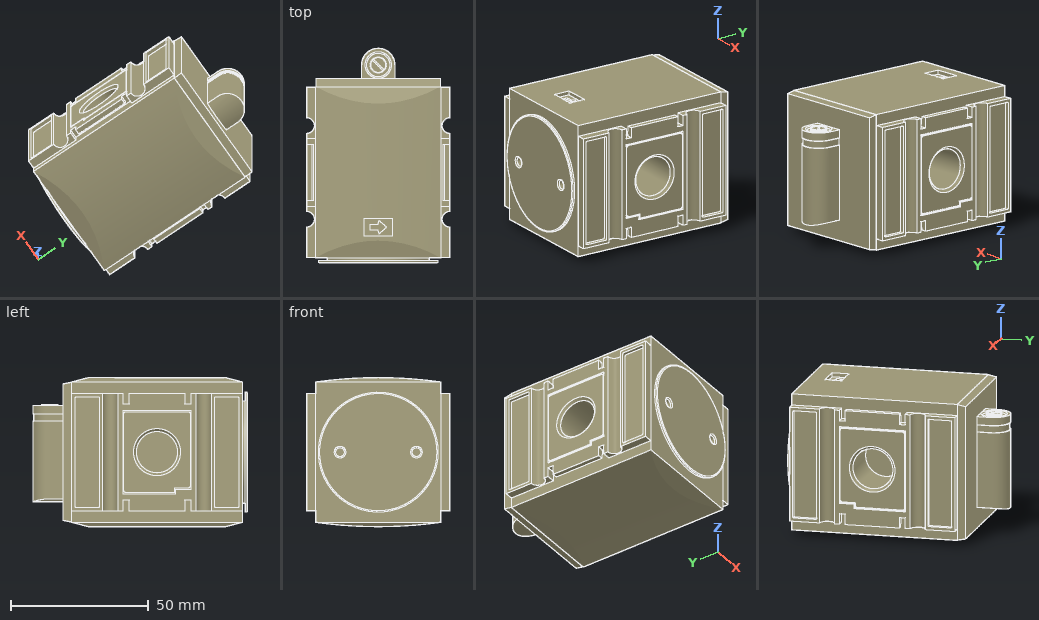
import cadquery as cq
import math

BODY_WIDTH = 45.4
BODY_LENGTH = 62.1
EDGE_HEIGHT = 51.0
CROWN_HEIGHT = 54.2
BEVEL_LENGTH = 6.2

CAP_WIDTH = 45.25
CAP_THICKNESS = 3.1
CAP_FRONT_HEIGHT = 50.85
CAP_BACK_HEIGHT = 49.6

OVERALL_WIDTH = 52.0
FLANGE_HEIGHT = 42.7
FLANGE_LENGTH = 61.9
GROOVE_RADIUS = 2.8
GROOVE_Y = 17.0
POCKET_NEAR_Y = 20.8
POCKET_FAR_Y = 29.8
POCKET_HEIGHT = 40.2
POCKET_RADIUS = 0.5
POCKET_DEPTH = 1.55

LATCH_HALF_LENGTH = 12.3
NOTCH_WIDTH = 2.2
NOTCH_DEPTH = 3.9
TONGUE_TOP_THICKNESS = 2.0
TONGUE_ROOT_THICKNESS = 2.6

PANEL_HALF_HEIGHT = 15.1
PANEL_STEP_Y = -6.8
PANEL_STEP_HEIGHT = 1.6
SEAM_SIDE_GAP = 0.15
SEAM_END_GAP = 0.5
SEAM_DEPTH = 0.8
PANEL_CORNER = 0.9

PORT_DIAMETER = 15.0
PORT_MOUTH_DIAMETER = 17.1
PORT_DEPTH = 19.5

NECK_DIAMETER = 37.2
NECK_LENGTH = 0.9
DISC_DIAMETER = 43.5
DISC_THICKNESS = 0.9
DISC_RIM_RADIAL = 0.5
DISC_RIM_AXIAL = 0.2
PIN_HOLE_DIAMETER = 3.2
PIN_HOLE_MOUTH = 4.2
PIN_HOLE_SPACING = 27.8
PIN_HOLE_DEPTH = 3.9

OVERALL_LENGTH = 78.0
LUG_RADIUS = 6.1
LUG_TOP = 17.0
LUG_BOTTOM_RADIUS = 18.0
LUG_GROOVE_TOP = 13.9
LUG_GROOVE_BOTTOM = 11.2
LUG_GROOVE_DEPTH = 0.3
SCREW_WELL_MOUTH = 9.6
SCREW_WELL_FLOOR = 8.5
SCREW_TIP_RADIUS = 3.0
SCREW_ROOT_RADIUS = 2.65
SCREW_TEETH = 36
SCREW_RISE = 0.3
SLOT_WIDTH = 0.55
SLOT_DEPTH = 0.3
SLOT_ANGLE = -45

WINDOW_LENGTH = 10.2
WINDOW_WIDTH = 6.25
WINDOW_Y = -19.9
ARROW_TAIL_X = -3.0
ARROW_NECK_X = -0.15
ARROW_BARB_X = 0.3
ARROW_TIP_X = 3.05
ARROW_SHAFT_HALF = 1.0
ARROW_HEAD_HALF = 2.4
ARROW_DEPTH = 0.6

HALF_WIDTH = BODY_WIDTH / 2
FRONT_Y = -BODY_LENGTH / 2
BACK_Y = BODY_LENGTH / 2
CAP_BACK_Y = BACK_Y + CAP_THICKNESS
FLANGE_X = OVERALL_WIDTH / 2
FLANGE_TOP = FLANGE_HEIGHT / 2
DISC_BACK_Y = FRONT_Y - NECK_LENGTH
DISC_FRONT_Y = DISC_BACK_Y - DISC_THICKNESS
LUG_Y = DISC_FRONT_Y + OVERALL_LENGTH - LUG_RADIUS


def block(x0, x1, y0, y1, z0, z1):
    """Box given by its limits along each axis."""
    return cq.Workplane("XY").box(x1 - x0, y1 - y0, z1 - z0, centered=False).translate((x0, y0, z0))


def cone(base_diameter, end_diameter, height):
    """Cone frustum standing on the XY plane along +Z."""
    return cq.Workplane(cq.Solid.makeCone(base_diameter / 2, end_diameter / 2, height))


def make_body():
    edge_z = EDGE_HEIGHT / 2
    crown_z = CROWN_HEIGHT / 2
    crowned = (
        cq.Workplane("XZ")
        .moveTo(-HALF_WIDTH, -edge_z)
        .threePointArc((0, -crown_z), (HALF_WIDTH, -edge_z))
        .lineTo(HALF_WIDTH, edge_z)
        .threePointArc((0, crown_z), (-HALF_WIDTH, edge_z))
        .close()
        .extrude(BODY_LENGTH / 2, both=True)
    )
    bevel_y = BACK_Y - BEVEL_LENGTH
    beveled = (
        cq.Workplane("YZ")
        .polyline([
            (BACK_Y, -edge_z), (BACK_Y, edge_z), (bevel_y, crown_z), (-bevel_y, crown_z),
            (FRONT_Y, edge_z), (FRONT_Y, -edge_z), (-bevel_y, -crown_z), (bevel_y, -crown_z),
        ])
        .close()
        .extrude(HALF_WIDTH, both=True)
    )
    return crowned.intersect(beveled)


def make_cap():
    return (
        cq.Workplane("YZ")
        .polyline([
            (BACK_Y, -CAP_FRONT_HEIGHT / 2), (BACK_Y, CAP_FRONT_HEIGHT / 2),
            (CAP_BACK_Y, CAP_BACK_HEIGHT / 2), (CAP_BACK_Y, -CAP_BACK_HEIGHT / 2),
        ])
        .close()
        .extrude(CAP_WIDTH / 2, both=True)
    )


def make_tongue():
    """Wedge standing on the notch floor at the top of the -X flange."""
    floor_z = FLANGE_TOP - NOTCH_DEPTH
    half_length = LATCH_HALF_LENGTH - NOTCH_WIDTH
    return (
        cq.Workplane("XZ")
        .polyline([
            (-FLANGE_X, floor_z), (-FLANGE_X, FLANGE_TOP),
            (-FLANGE_X + TONGUE_TOP_THICKNESS, FLANGE_TOP),
            (-FLANGE_X + TONGUE_ROOT_THICKNESS, floor_z),
        ])
        .close()
        .extrude(half_length, both=True)
    )


def make_seam():
    """Thin stepped groove around the port panel of the -X flange."""
    side_y = LATCH_HALF_LENGTH
    low_z = -PANEL_HALF_HEIGHT
    step_z = low_z + PANEL_STEP_HEIGHT

    def stepped_plate(side, top, bottom, step_y, step):
        outline = [
            (-side, top), (side, top), (side, bottom),
            (step_y, bottom), (step_y, step), (-side, step),
        ]
        return cq.Workplane("YZ", origin=(-FLANGE_X, 0, 0)).polyline(outline).close().extrude(SEAM_DEPTH)

    inner_side = side_y - SEAM_SIDE_GAP
    inner_top = PANEL_HALF_HEIGHT - SEAM_END_GAP
    outer = stepped_plate(side_y, PANEL_HALF_HEIGHT, low_z, PANEL_STEP_Y, step_z)
    inner = stepped_plate(
        inner_side, inner_top, low_z + SEAM_END_GAP, PANEL_STEP_Y + SEAM_END_GAP, step_z + SEAM_END_GAP
    )
    inner = inner.edges("|X and (<Y or >Y)").fillet(PANEL_CORNER)
    return outer.cut(inner)


def make_left_flange():
    end_y = FLANGE_LENGTH / 2
    flange = block(-FLANGE_X, -HALF_WIDTH, -end_y, end_y, -FLANGE_TOP, FLANGE_TOP)

    tongue = make_tongue()
    notch_floor = FLANGE_TOP - NOTCH_DEPTH
    notch = block(-FLANGE_X, -HALF_WIDTH, -LATCH_HALF_LENGTH, LATCH_HALF_LENGTH, notch_floor, FLANGE_TOP)
    latch_gap = notch.cut(tongue)
    flange = flange.cut(latch_gap).cut(latch_gap.mirror("XY"))

    pocket_y = (POCKET_NEAR_Y + POCKET_FAR_Y) / 2
    for side in (-1, 1):
        groove = cq.Workplane("XY").center(-FLANGE_X, side * GROOVE_Y).circle(GROOVE_RADIUS)
        flange = flange.cut(groove.extrude(FLANGE_TOP, both=True))
        pocket = (
            cq.Workplane("YZ", origin=(-FLANGE_X, side * pocket_y, 0))
            .rect(POCKET_FAR_Y - POCKET_NEAR_Y, POCKET_HEIGHT)
            .extrude(POCKET_DEPTH)
            .edges("|X")
            .fillet(POCKET_RADIUS)
        )
        flange = flange.cut(pocket)
    return flange.cut(make_seam())


def make_left_port():
    """Blind bore with a 45 degree mouth, cut in from the -X flange face."""
    mouth_depth = (PORT_MOUTH_DIAMETER - PORT_DIAMETER) / 2
    bore = cq.Workplane("XY").circle(PORT_DIAMETER / 2).extrude(PORT_DEPTH)
    port = bore.union(cone(PORT_MOUTH_DIAMETER, PORT_DIAMETER, mouth_depth))
    return port.rotate((0, 0, 0), (0, 1, 0), 90).translate((-FLANGE_X, 0, 0))


def make_disc():
    """Turned front disc on its neck."""
    radius = DISC_DIAMETER / 2
    return (
        cq.Workplane("XY")
        .polyline([
            (0, FRONT_Y), (NECK_DIAMETER / 2, FRONT_Y), (NECK_DIAMETER / 2, DISC_BACK_Y),
            (radius, DISC_BACK_Y), (radius, DISC_FRONT_Y + DISC_RIM_AXIAL),
            (radius - DISC_RIM_RADIAL, DISC_FRONT_Y), (0, DISC_FRONT_Y),
        ])
        .close()
        .revolve(360, (0, 0, 0), (0, 1, 0))
    )


def make_pin_hole(x):
    mouth_depth = (PIN_HOLE_MOUTH - PIN_HOLE_DIAMETER) / 2
    hole = cq.Workplane("XY").circle(PIN_HOLE_DIAMETER / 2).extrude(PIN_HOLE_DEPTH)
    hole = hole.union(cone(PIN_HOLE_MOUTH, PIN_HOLE_DIAMETER, mouth_depth))
    return hole.rotate((0, 0, 0), (1, 0, 0), -90).translate((x, DISC_FRONT_Y, 0))


def lug_prism(radius, bottom_z, top_z):
    """Round-ended upright prism running from the cap to the lug axis."""
    return (
        cq.Workplane("XY", origin=(0, 0, bottom_z))
        .moveTo(-radius, CAP_BACK_Y)
        .lineTo(-radius, LUG_Y)
        .threePointArc((0, LUG_Y + radius), (radius, LUG_Y))
        .lineTo(radius, CAP_BACK_Y)
        .close()
        .extrude(top_z - bottom_z)
    )


def make_lug():
    lug = lug_prism(LUG_RADIUS, -LUG_BOTTOM_RADIUS, LUG_GROOVE_BOTTOM)
    rounding = cq.Workplane("XZ").circle(LUG_BOTTOM_RADIUS).extrude(-(LUG_Y + LUG_RADIUS))
    lug = lug.intersect(rounding)
    lug = lug.union(lug_prism(LUG_RADIUS - LUG_GROOVE_DEPTH, LUG_GROOVE_BOTTOM, LUG_GROOVE_TOP))
    lug = lug.union(lug_prism(LUG_RADIUS, LUG_GROOVE_TOP, LUG_TOP))

    well_depth = (SCREW_WELL_MOUTH - SCREW_WELL_FLOOR) / 2
    well_floor = LUG_TOP - well_depth
    well = cone(SCREW_WELL_FLOOR, SCREW_WELL_MOUTH, well_depth).translate((0, LUG_Y, well_floor))
    return lug.cut(well).union(make_screw(well_floor))


def make_screw(base_z):
    """Knurled screw head with a diagonal driver slot."""
    knurl = []
    for i in range(2 * SCREW_TEETH):
        angle = math.pi * i / SCREW_TEETH
        radius = SCREW_TIP_RADIUS if i % 2 == 0 else SCREW_ROOT_RADIUS
        knurl.append((radius * math.cos(angle), radius * math.sin(angle)))
    top_z = LUG_TOP + SCREW_RISE
    head = cq.Workplane("XY").polyline(knurl).close().extrude(top_z - base_z).translate((0, 0, base_z))
    slot = (
        cq.Workplane("XY", origin=(0, 0, top_z))
        .rect(2 * SCREW_TIP_RADIUS, SLOT_WIDTH)
        .extrude(-SLOT_DEPTH)
        .rotate((0, 0, 0), (0, 0, 1), SLOT_ANGLE)
    )
    return head.cut(slot).translate((0, LUG_Y, 0))


def make_arrow_window():
    """Window cut down to the edge height of the body, with a sunken arrow."""
    floor_z = EDGE_HEIGHT / 2
    floor_plane = cq.Workplane("XY", origin=(0, WINDOW_Y, floor_z))
    window = floor_plane.rect(WINDOW_LENGTH, WINDOW_WIDTH).extrude(CROWN_HEIGHT / 2 - floor_z)
    arrow = (
        floor_plane
        .polyline([
            (ARROW_TAIL_X, -ARROW_SHAFT_HALF), (ARROW_NECK_X, -ARROW_SHAFT_HALF),
            (ARROW_BARB_X, -ARROW_HEAD_HALF), (ARROW_TIP_X, 0), (ARROW_BARB_X, ARROW_HEAD_HALF),
            (ARROW_NECK_X, ARROW_SHAFT_HALF), (ARROW_TAIL_X, ARROW_SHAFT_HALF),
        ])
        .close()
        .extrude(-ARROW_DEPTH)
    )
    return window.union(arrow)


left_flange = make_left_flange()
left_port = make_left_port()

result = make_body().union(make_cap()).union(make_disc()).union(make_lug())
result = result.union(left_flange).union(left_flange.mirror("YZ"))
result = result.cut(left_port).cut(left_port.mirror("YZ"))
for pin_x in (-PIN_HOLE_SPACING / 2, PIN_HOLE_SPACING / 2):
    result = result.cut(make_pin_hole(pin_x))
result = result.cut(make_arrow_window())